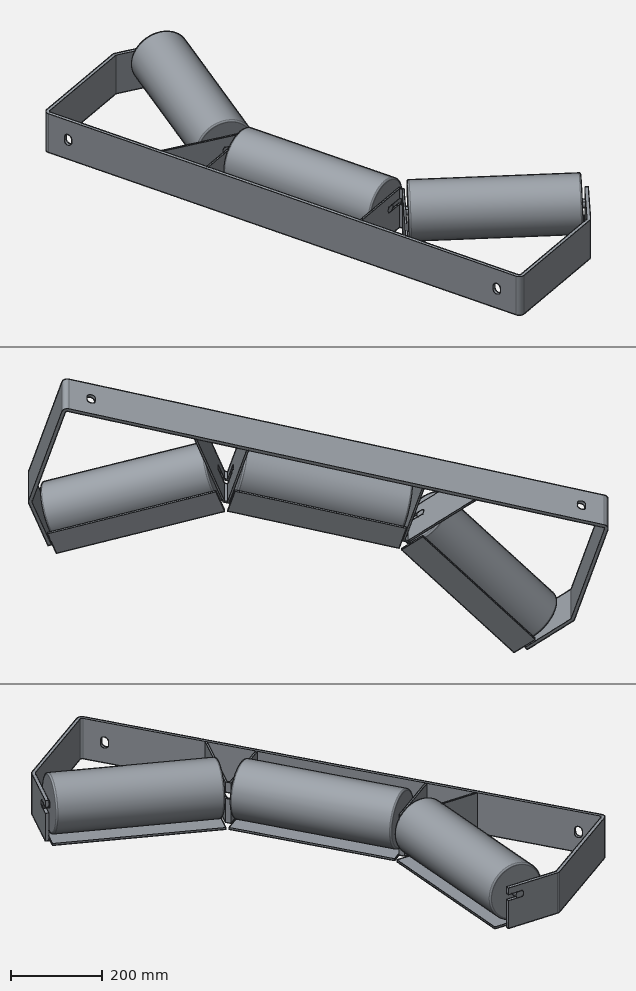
import cadquery as cq
import math


frame_width = 1240.0
frame_height = 100.0
frame_bottom = 5.0
frame_thickness = 8.0
frame_bend_radius = 12.0
mount_hole_width = 19.0
mount_hole_height = 27.0
mount_hole_x = 557.0

roller_diameter = 135.0
roller_length = 380.0
roller_edge_radius = 4.0
end_gap = 7.0
shaft_diameter = 20.0
shaft_flats = 15.0
middle_roller_y = 124.0
side_roller_x = 393.0
side_roller_y = 248.0
trough_angle = 35.0
side_tilt = 1.3

bracket_thickness = 4.3
bracket_top_y = 165.0
arm_reach = 30.0

guard_thickness = 5.0
guard_width = 60.0
guard_overhang = 5.0

slot_mouth = 75.0
slot_overrun = 15.0

roller_radius = roller_diameter / 2
half_length = roller_length / 2
half_width = frame_width / 2
frame_middle_z = frame_bottom + frame_height / 2
middle_roller_z = guard_thickness + roller_radius
side_roller_z = middle_roller_z + half_length * math.sin(math.radians(side_tilt))
sin_trough = math.sin(math.radians(trough_angle))
cos_trough = math.cos(math.radians(trough_angle))
inner_bend_radius = frame_bend_radius - frame_thickness
carrier_distance = half_length + end_gap


def seat(body, side):
    """Move a body built about a roller at the origin, axis along X, to that roller's place."""
    if side == 0:
        return body.translate((0, middle_roller_y, middle_roller_z))
    tilted = body.rotate((0, 0, 0), (0, 1, 0), -side * side_tilt)
    splayed = tilted.rotate((0, 0, 0), (0, 0, 1), side * trough_angle)
    return splayed.translate((side * side_roller_x, side_roller_y, side_roller_z))


def seat_point(along, across):
    """Plan position, from the right roller's centre, outwards along and then square to its axis."""
    x = side_roller_x + along * cos_trough - across * sin_trough
    y = side_roller_y + along * sin_trough + across * cos_trough
    return (x, y)


def slide_to_x(point, x):
    """Plan point with the given x on the line through `point` square to the right roller's axis."""
    return (x, point[1] - (x - point[0]) * cos_trough / sin_trough)


def slide_to_y(point, y):
    """Plan point with the given y on the line through `point` square to the right roller's axis."""
    return (point[0] - (y - point[1]) * sin_trough / cos_trough, y)


def cylinder_along_x(diameter, start, end):
    return cq.Workplane("YZ").workplane(offset=start).circle(diameter / 2).extrude(end - start)


def flatted_shaft(start, end):
    """Shaft along X with level flats above and below."""
    shaft = cylinder_along_x(shaft_diameter, start, end)
    between_flats = cq.Workplane("XY").box(2 * frame_width, 2 * shaft_diameter, shaft_flats)
    return shaft.intersect(between_flats)


def offset_to_left(path, distance):
    """The path moved sideways to its left, with mitred corners."""
    normals = []
    for (x0, y0), (x1, y1) in zip(path, path[1:]):
        length = math.hypot(x1 - x0, y1 - y0)
        normals.append(((y0 - y1) / length, (x1 - x0) / length))
    before = [normals[0]] + normals
    after = normals + [normals[-1]]
    moved = []
    for (x, y), (ax, ay), (bx, by) in zip(path, before, after):
        mitre = distance / (1 + ax * bx + ay * by)
        moved.append((x + mitre * (ax + bx), y + mitre * (ay + by)))
    return moved


def upright_strip(path, thickness):
    """Strip standing on edge, its right-hand face along the path."""
    outline = path + offset_to_left(path, thickness)[::-1]
    return cq.Workplane("XY").workplane(offset=frame_bottom).polyline(outline).close().extrude(frame_height)


def round_bend(strip, corner, radius):
    edge = cq.selectors.NearestToPointSelector((*corner, frame_middle_z))
    return strip.edges(edge).fillet(radius)


def shaft_slot(side):
    """Round-bottomed slot, open towards +Y, that fits the flats of one roller's shaft."""
    reach = carrier_distance + slot_overrun
    bottom = flatted_shaft(-reach, reach)
    mouth = cq.Workplane("XY").box(2 * reach, slot_mouth, shaft_flats, centered=(True, False, True))
    return seat(bottom.union(mouth), side)


def make_frame():
    arm_end = seat_point(carrier_distance + frame_thickness, arm_reach)
    right_half = [(half_width, 0), slide_to_x(arm_end, half_width), arm_end]
    left_half = [(-x, y) for x, y in reversed(right_half)]
    outer_path = left_half + right_half
    inner_path = offset_to_left(outer_path, frame_thickness)
    frame = upright_strip(outer_path, frame_thickness)
    for outer_corner, inner_corner in zip(outer_path[1:-1], inner_path[1:-1]):
        frame = round_bend(frame, outer_corner, frame_bend_radius)
        frame = round_bend(frame, inner_corner, inner_bend_radius)

    mount_holes = (
        cq.Workplane("XZ")
        .pushPoints([(-mount_hole_x, frame_middle_z), (mount_hole_x, frame_middle_z)])
        .slot2D(mount_hole_height, mount_hole_width, 90)
        .extrude(-frame_thickness)
    )
    return frame.cut(mount_holes).cut(shaft_slot(-1)).cut(shaft_slot(1))


def make_bracket(side):
    """Angled and straight legs joined by a short bridge, both standing on the back wall."""
    angled_face = seat_point(-carrier_distance, 0)
    path = [
        slide_to_y(angled_face, 0),
        slide_to_y(angled_face, bracket_top_y),
        (carrier_distance, bracket_top_y),
        (carrier_distance, 0),
    ]
    bracket = upright_strip(path, bracket_thickness)
    wall_depth = 2 * frame_thickness
    wall_height = 4 * frame_height
    back_wall = cq.Workplane("XY").box(frame_width, wall_depth, wall_height)
    bracket = bracket.cut(back_wall).cut(shaft_slot(0)).cut(shaft_slot(1))
    if side < 0:
        return bracket.mirror("YZ")
    return bracket


def make_roller(side):
    """Round-edged roller whose shaft ends flush with the outside of its carrying plates."""
    drum = cylinder_along_x(roller_diameter, -half_length, half_length).edges().fillet(roller_edge_radius)
    in_bracket = carrier_distance + bracket_thickness
    in_arm = carrier_distance + frame_thickness
    left_end = in_arm if side < 0 else in_bracket
    right_end = in_arm if side > 0 else in_bracket
    shaft = flatted_shaft(-left_end, right_end)
    return seat(drum.union(shaft), side)


def make_guard(side):
    """Flat plate tangent to the underside of a roller, from below its axis towards +Y."""
    guard_length = roller_length + 2 * guard_overhang
    guard = cq.Workplane("XY").box(guard_length, guard_width, guard_thickness, centered=(True, False, False))
    return seat(guard.translate((0, 0, -roller_radius - guard_thickness)), side)


frame = make_frame()
brackets = [make_bracket(side) for side in (-1, 1)]
rollers = [make_roller(side) for side in (-1, 0, 1)]
guards = [make_guard(side) for side in (-1, 0, 1)]
bodies = [frame, *brackets, *rollers, *guards]

result = cq.Compound.makeCompound([body.solids().val() for body in bodies])